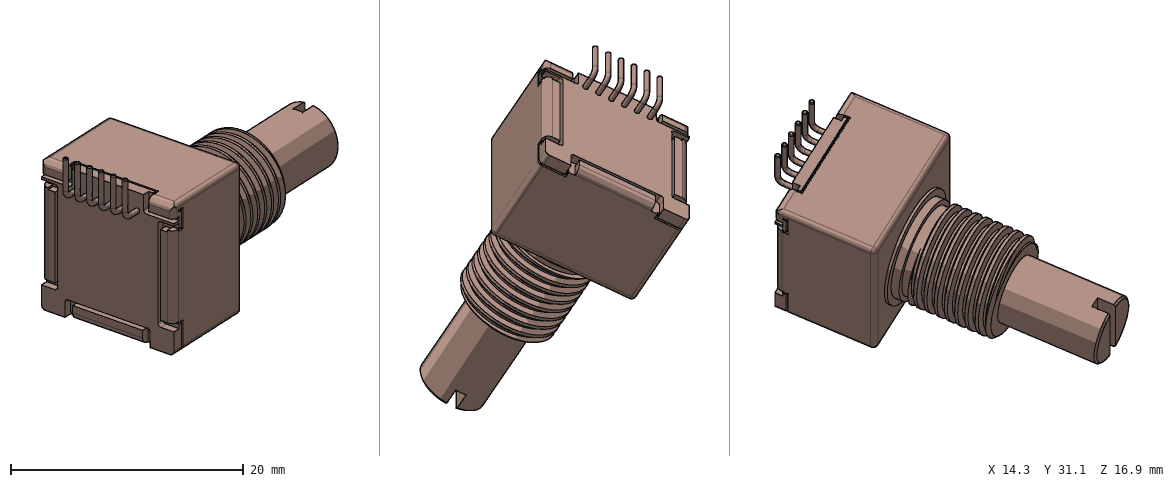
import cadquery as cq


overall_length = 31.13
overall_height = 16.85

width = 14.25
top_z = 8.0
bottom_z = -6.75
depth = 9.77
housing_round = 0.47
half_width = width / 2

tip_y = 29.1
shaft_radius = 3.18
shaft_chamfer = 0.2
slot_width = 1.03
slot_depth = 1.75
bushing_end_y = 19.58
core_radius = 4.25
flange_radius = 5.48
flange_thickness = 0.28
collar_radius = 4.75
collar_end_y = 10.83

thread_radius = collar_radius
thread_pitch = 1.0
thread_end_y = 11.6
thread_start_y = 10.9
thread_base = 0.85
thread_crest = 0.3
thread_chamfer = 0.45
thread_embed = 0.1

pocket_depth = 0.75
pocket_corner = 0.3
tab_round = 0.7

side_pocket_reach = 1.75
side_pocket_z = (-4.4, 5.95)
side_tab_reach = 1.45
side_tab_z = (-3.75, 5.17)
side_tab_shoulder_z = 5.35
shoulder_reach = 0.72

bottom_pocket_half = 4.58
bottom_pocket_z = -4.95
bottom_tab_half = 3.77
bottom_tab_z = -5.32

top_pocket_inner_x = 3.85
top_pocket_z = 6.2
top_tab_inner_x = 4.45
top_tab_z = 6.57
top_tab_proud = 0.05

seam_width = 0.2
seam_depth = 0.25
seam_y = 1.28
top_seam_half = 4.5
upper_seam_z = (5.17, 7.22)
lower_seam_z = -3.77

pin_count = 6
pin_spacing = 1.28
pin_radius = 0.25
pin_z = 6.23
pin_top_z = bottom_z + overall_height
pin_y = tip_y - overall_length + pin_radius
pin_bend = 0.7
pin_root_y = 0.3
pin_chamfer = 0.1


def block(x_range, y_range, z_range):
    """Box spanning three (low, high) ranges."""
    size = [high - low for low, high in (x_range, y_range, z_range)]
    corner = (x_range[0], y_range[0], z_range[0])
    return cq.Workplane("XY").box(*size, centered=False).translate(corner)


def disc(radius, y_start, y_end):
    """Cylinder on the shaft axis."""
    return cq.Workplane("XZ", origin=(0, y_start, 0)).circle(radius).extrude(y_start - y_end)


def both_sides(body):
    """The body together with its mirror image across the X = 0 plane."""
    return body.union(body.mirror("YZ"))


def make_housing():
    body = block((-half_width, half_width), (0, depth), (bottom_z, top_z))
    return body.edges("|Y or >Y").fillet(housing_round)


def make_pockets():
    span_y = (0, pocket_depth)
    side = block((half_width - side_pocket_reach, half_width), span_y, side_pocket_z)
    side = side.edges("|Y and <X").fillet(pocket_corner)
    top = block((top_pocket_inner_x, half_width), span_y, (top_pocket_z, top_z))
    top = top.edges("|Y and <X and <Z").fillet(pocket_corner)
    bottom = block((-bottom_pocket_half, bottom_pocket_half), span_y, (bottom_z, bottom_pocket_z))
    bottom = bottom.edges("|Y and >Z").fillet(pocket_corner)
    return both_sides(side.union(top)).union(bottom)


def make_side_tabs():
    tab = block((half_width - side_tab_reach, half_width), (0, pocket_depth), side_tab_z)
    shoulder_z = (side_tab_z[0], side_tab_shoulder_z)
    tab = tab.union(block((half_width - shoulder_reach, half_width), (0, pocket_depth), shoulder_z))
    return both_sides(tab.edges("|Z and >X and <Y").fillet(tab_round))


def make_bottom_tab():
    tab = block((-bottom_tab_half, bottom_tab_half), (0, pocket_depth), (bottom_z, bottom_tab_z))
    return tab.edges("|X and <Y and <Z").fillet(tab_round)


def make_top_tabs():
    envelope = block((top_tab_inner_x, half_width), (-top_tab_proud, pocket_depth), (top_tab_z, top_z))
    rolled_top = envelope.edges("|X and <Y and >Z").fillet(tab_round)
    rolled_side = envelope.edges("|Z and >X and <Y").fillet(housing_round)
    rounded_corner = envelope.edges("|Y and >X and >Z").fillet(housing_round)
    return both_sides(rolled_top.intersect(rolled_side).intersect(rounded_corner))


def make_seams():
    band_y = (seam_y - seam_width, seam_y)
    leg_y = (pocket_depth, seam_y)
    wall_x = (half_width - seam_depth, half_width)
    roof_z = (top_z - seam_depth, top_z)
    floor_z = (bottom_z, bottom_z + seam_depth)
    upper_low, upper_high = upper_seam_z
    bottom_leg_x = (bottom_pocket_half - seam_width, bottom_pocket_half)

    seams = block((-top_seam_half, top_seam_half), band_y, roof_z)
    leg = block((top_seam_half - seam_width, top_seam_half), leg_y, roof_z)
    leg = leg.union(block(wall_x, band_y, upper_seam_z))
    leg = leg.union(block(wall_x, leg_y, (upper_low, upper_low + seam_width)))
    leg = leg.union(block(wall_x, leg_y, (upper_high - seam_width, upper_high)))
    leg = leg.union(block(wall_x, band_y, (bottom_z, lower_seam_z)))
    leg = leg.union(block(wall_x, leg_y, (lower_seam_z - seam_width, lower_seam_z)))
    leg = leg.union(block((bottom_leg_x[0], half_width), band_y, floor_z))
    leg = leg.union(block(bottom_leg_x, leg_y, floor_z))
    return seams.union(both_sides(leg))


def make_thread():
    """Helical ridge cut flat at its inner end and trimmed to the chamfered bushing end."""
    length = bushing_end_y - thread_start_y + thread_pitch
    root = core_radius - thread_embed
    path = cq.Wire.makeHelix(thread_pitch, length, core_radius)
    ridge = (
        cq.Workplane("XZ")
        .moveTo(root, -thread_base / 2)
        .lineTo(thread_radius, -thread_crest / 2)
        .lineTo(thread_radius, thread_crest / 2)
        .lineTo(root, thread_base / 2)
        .close()
        .sweep(cq.Workplane(obj=path), isFrenet=True)
    )
    ridge = ridge.rotate((0, 0, 0), (0, 0, 1), 180)
    ridge = ridge.rotate((0, 0, 0), (1, 0, 0), -90).translate((0, thread_start_y, 0))
    limit = disc(thread_radius + thread_embed, thread_end_y, bushing_end_y)
    return ridge.intersect(limit.faces(">Y").chamfer(thread_chamfer))


def make_shaft():
    shaft = disc(shaft_radius, depth, tip_y).faces(">Y").chamfer(shaft_chamfer)
    slot_x = (-slot_width / 2, slot_width / 2)
    return shaft.cut(block(slot_x, (tip_y - slot_depth, tip_y), (-shaft_radius, shaft_radius)))


def make_pin(x):
    """Round pin leaving the back plate and bending up to its tip."""
    path = (
        cq.Workplane("YZ", origin=(x, 0, 0))
        .moveTo(pin_root_y, pin_z)
        .lineTo(pin_y + pin_bend, pin_z)
        .radiusArc((pin_y, pin_z + pin_bend), pin_bend)
        .lineTo(pin_y, pin_top_z)
    )
    pin = cq.Workplane("XZ", origin=(x, pin_root_y, pin_z)).circle(pin_radius).sweep(path)
    return pin.faces(">Z").chamfer(pin_chamfer)


result = make_housing().cut(make_pockets()).cut(make_seams())
result = result.union(make_side_tabs()).union(make_bottom_tab()).union(make_top_tabs())
result = result.union(disc(flange_radius, depth, depth + flange_thickness))
result = result.union(disc(collar_radius, depth, collar_end_y))
result = result.union(disc(core_radius, depth, bushing_end_y).union(make_thread()))
result = result.union(make_shaft())
for index in range(pin_count):
    result = result.union(make_pin((index - (pin_count - 1) / 2) * pin_spacing))